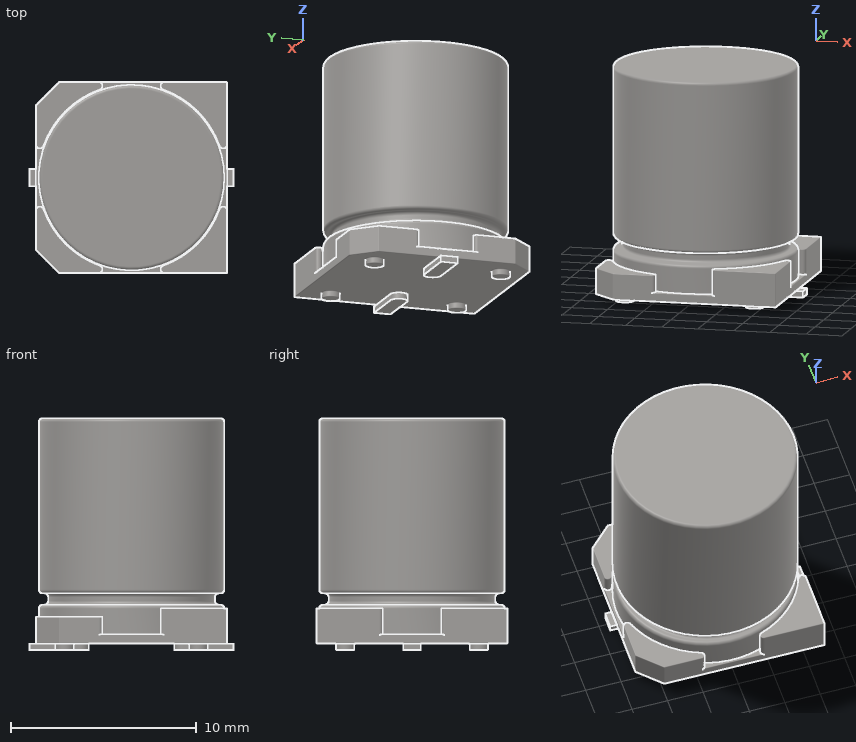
import cadquery as cq
can_radius = 10.0 / 2
can_top = 12.5
can_rim_fillet = 0.2

groove_radius = 9.0 / 2
groove_center_z = 2.75
groove_width = 0.6
groove_fillet = 0.2

base_side = 10.3
base_half = base_side / 2
base_bottom = 0.35
floor_top = 0.85
low_jaw_top = 1.8
high_jaw_top = 2.25
corner_chamfer = 1.25
slot_half_width = 1.57
jaw_tip_fillet = 0.2
jaw_clearance = 0.04
base_edge_fillet = 0.05

foot_radius = 1.0 / 2
foot_offset = 3.6

terminal_outer_x = 5.5
terminal_inner_x = 2.3
terminal_width = 0.95

height_tolerance = 0.01


def base_block(bottom, top):
    """Square block with the two corners on the -X side chamfered."""
    return (
        cq.Workplane("XY", origin=(0, 0, bottom))
        .rect(base_side, base_side)
        .extrude(top - bottom)
        .edges("|Z and <X")
        .chamfer(corner_chamfer)
    )


def jaw(top):
    """Jaw in the +X +Y corner, hugging the can, with rounded tips at both slots."""
    height = top - floor_top
    jaw_side = base_half - slot_half_width
    bore = cq.Workplane("XY", origin=(0, 0, floor_top)).circle(can_radius + jaw_clearance).extrude(height)
    return (
        cq.Workplane("XY", origin=(slot_half_width, slot_half_width, floor_top))
        .rect(jaw_side, jaw_side, centered=False)
        .extrude(height)
        .cut(bore)
        .edges("|Z")
        .edges("not (>X and >Y)")
        .fillet(jaw_tip_fillet)
    )


def feet():
    """Four round feet from the ground up to the underside of the base."""
    return (
        cq.Workplane("XY")
        .rect(2 * foot_offset, 2 * foot_offset, forConstruction=True)
        .vertices()
        .circle(foot_radius)
        .extrude(base_bottom)
    )


def is_same_height(first, second):
    return abs(first - second) < height_tolerance


def is_rounded_base_edge(edge):
    """True for the underside, feet, outer corner, slot sill and jaw top edges."""
    box = edge.BoundingBox()
    is_level = is_same_height(box.zmin, box.zmax)
    if not is_level:
        return is_same_height(box.zmin, base_bottom)
    if is_same_height(box.zmin, floor_top):
        return edge.geomType() == "LINE" and edge.Length() > slot_half_width
    return True


def make_base():
    """Base plate with a jaw in each corner, feet below and rounded edges."""
    low_jaw = jaw(low_jaw_top).mirror("YZ")
    high_jaw = jaw(high_jaw_top)
    jaws = low_jaw.union(low_jaw.mirror("XZ")).union(high_jaw).union(high_jaw.mirror("XZ"))
    return (
        base_block(base_bottom, floor_top)
        .union(jaws.intersect(base_block(floor_top, high_jaw_top)))
        .union(feet())
        .edges()
        .filter(is_rounded_base_edge)
        .fillet(base_edge_fillet)
    )


def make_can():
    """Can standing on the base plate, with a rounded groove and top rim."""
    can = (
        cq.Workplane("XY", origin=(0, 0, floor_top))
        .circle(can_radius)
        .extrude(can_top - floor_top)
        .faces(">Z")
        .edges()
        .fillet(can_rim_fillet)
    )
    groove = (
        cq.Workplane("XY", origin=(0, 0, groove_center_z - groove_width / 2))
        .circle(can_radius + groove_width)
        .circle(groove_radius)
        .extrude(groove_width)
    )
    groove_zone = cq.selectors.BoxSelector(
        (-can_radius, -can_radius, groove_center_z - groove_width),
        (can_radius, can_radius, groove_center_z + groove_width),
    )
    return can.cut(groove).edges("%CIRCLE").edges(groove_zone).fillet(groove_fillet)


def terminal(x_sign):
    """Flat strip with a square outer end and a full-round inner end."""
    half_width = terminal_width / 2
    outer_x = x_sign * terminal_outer_x
    round_start_x = x_sign * (terminal_inner_x + half_width)
    return (
        cq.Workplane("XY")
        .moveTo(outer_x, -half_width)
        .lineTo(round_start_x, -half_width)
        .threePointArc((x_sign * terminal_inner_x, 0), (round_start_x, half_width))
        .lineTo(outer_x, half_width)
        .close()
        .extrude(base_bottom)
    )


result = make_can().union(make_base()).union(terminal(-1)).union(terminal(1))